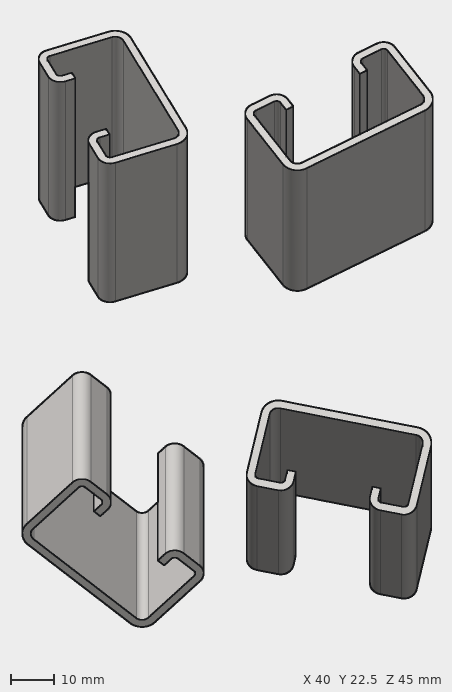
import cadquery as cq

width = 40.0
depth = 22.5
length = 45.0
thickness = 2.0
opening = 18.0
lip_height = 5.5
back_radius = 4.0
front_radius = 3.0

half_width = width / 2
half_opening = opening / 2

outer_half = [
    (half_width, depth),
    (half_width, 0),
    (half_opening, 0),
    (half_opening, lip_height),
]
inner_half = [
    (half_opening + thickness, lip_height),
    (half_opening + thickness, thickness),
    (half_width - thickness, thickness),
    (half_width - thickness, depth - thickness),
]
right_half = outer_half + inner_half
left_half = [(-x, y) for x, y in reversed(right_half)]
channel = cq.Workplane("XY").polyline(right_half + left_half).close().extrude(length)


def round_bends(body, corners, radius):
    """Round the long edges at the given corners, on both sides of the channel."""
    for x, y in corners:
        for side in (-1, 1):
            nearest = cq.selectors.NearestToPointSelector((side * x, y, length / 2))
            body = body.edges("|Z").edges(nearest).fillet(radius)
    return body


outer_back, outer_front, outer_lip, _ = outer_half
_, inner_lip, inner_front, inner_back = inner_half

channel = round_bends(channel, [outer_back], back_radius)
channel = round_bends(channel, [inner_back], back_radius - thickness)
channel = round_bends(channel, [outer_front, outer_lip], front_radius)
channel = round_bends(channel, [inner_front, inner_lip], front_radius - thickness)

result = channel